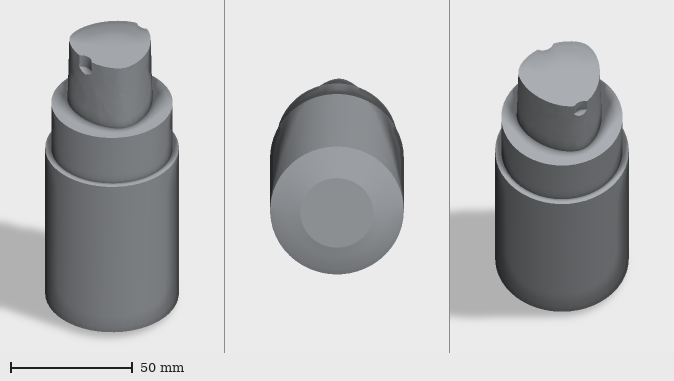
import cadquery as cq
import math

TOTAL_HEIGHT = 130.0
SHANK_HEIGHT = 29.9
COLLAR_HEIGHT = 23.0
SHANK_BASE_Z = TOTAL_HEIGHT - SHANK_HEIGHT
BODY_TOP_Z = SHANK_BASE_Z - COLLAR_HEIGHT

BODY_DIAMETER = 55.0
COLLAR_DIAMETER = 49.9

BASE_FLAT_DIAMETER = 29.9
BASE_CONE_ANGLE = 15.0

SHANK_BASE_WIDTH = 35.0
SHANK_BASE_RADIUS = SHANK_BASE_WIDTH / 2
SIDE_SLOPE = 1 / 40
SHANK_TOP_RADIUS = SHANK_BASE_RADIUS - SHANK_HEIGHT * SIDE_SLOPE
LOBE_HEIGHT = 1.2
LOBE_COUNT = 3
OUTLINE_POINTS = 48

NOTCH_RADIUS = 4.5
NOTCH_DEPTH = 5.6
NOTCH_TIP_LENGTH = 4.2
BACK_NOTCH_Y = 20.9
FRONT_NOTCH_Y = -18.2


def make_body():
    """Body and collar turned from one profile, with a shallow cone below."""
    base_radius = BASE_FLAT_DIAMETER / 2
    body_radius = BODY_DIAMETER / 2
    collar_radius = COLLAR_DIAMETER / 2
    cone_height = (body_radius - base_radius) * math.tan(math.radians(BASE_CONE_ANGLE))
    profile = (
        cq.Workplane("XZ")
        .lineTo(base_radius, 0)
        .lineTo(body_radius, cone_height)
        .lineTo(body_radius, BODY_TOP_Z)
        .lineTo(collar_radius, BODY_TOP_Z)
        .lineTo(collar_radius, SHANK_BASE_Z)
        .lineTo(0, SHANK_BASE_Z)
        .close()
    )
    return profile.revolve(360, (0, 0, 0), (0, 1, 0))


def lobed_point(radius, angle):
    """Point whose tangent line lies radius + LOBE_HEIGHT * cos(n * phase) from the axis."""
    phase = LOBE_COUNT * (angle - math.pi / 2)
    distance = radius + LOBE_HEIGHT * math.cos(phase)
    slope = -LOBE_COUNT * LOBE_HEIGHT * math.sin(phase)
    x = distance * math.cos(angle) - slope * math.sin(angle)
    y = distance * math.sin(angle) + slope * math.cos(angle)
    return x, y


def lobed_outline(radius):
    step = 2 * math.pi / OUTLINE_POINTS
    return [lobed_point(radius, i * step) for i in range(OUTLINE_POINTS)]


def make_shank():
    return (
        cq.Workplane("XY", origin=(0, 0, SHANK_BASE_Z))
        .spline(lobed_outline(SHANK_BASE_RADIUS), periodic=True)
        .close()
        .workplane(offset=SHANK_HEIGHT)
        .spline(lobed_outline(SHANK_TOP_RADIUS), periodic=True)
        .close()
        .loft(ruled=True)
    )


def make_notch_cutter(y):
    """Vertical drill shape with a conical tip, centred outside the shank."""
    shoulder_z = TOTAL_HEIGHT - NOTCH_DEPTH
    profile = (
        cq.Workplane("XZ", origin=(0, y, 0))
        .moveTo(0, shoulder_z - NOTCH_TIP_LENGTH)
        .lineTo(NOTCH_RADIUS, shoulder_z)
        .lineTo(NOTCH_RADIUS, TOTAL_HEIGHT)
        .lineTo(0, TOTAL_HEIGHT)
        .close()
    )
    return profile.revolve(360, (0, 0, 0), (0, 1, 0))


result = make_body().union(make_shank())
for notch_y in (BACK_NOTCH_Y, FRONT_NOTCH_Y):
    result = result.cut(make_notch_cutter(notch_y))